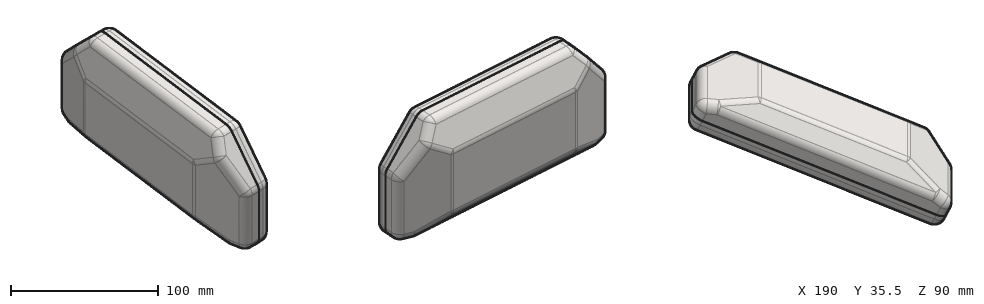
import cadquery as cq

width = 190.0
depth = 35.5
height = 90.0

side_rim_depth = 23.0
top_rim_depth = 23.0
bottom_rim_depth = 23.2
parting_depth = 11.2

corner_run = 30.0
corner_drop = 36.0

panel_side_inset = 39.1
panel_bottom = 14.2
panel_top = 65.7

edge_radius = 7.6

half_width = width / 2


def front_outline_prism():
    """Six-sided front outline, extruded over the full depth."""
    return (
        cq.Workplane("XZ")
        .polyline([
            (-half_width, 0),
            (half_width, 0),
            (half_width, height - corner_drop),
            (half_width - corner_run, height),
            (corner_run - half_width, height),
            (-half_width, height - corner_drop),
        ])
        .close()
        .extrude(depth)
    )


def plan_prism():
    """Plan outline with both wings sloping back from the front panel, extruded over the height."""
    panel_half = half_width - panel_side_inset
    return (
        cq.Workplane("XY")
        .polyline([
            (-half_width, 0),
            (half_width, 0),
            (half_width, -side_rim_depth),
            (panel_half, -depth),
            (-panel_half, -depth),
            (-half_width, -side_rim_depth),
        ])
        .close()
        .extrude(height)
    )


def side_profile_prism():
    """Side outline with the upper and lower front slopes, extruded over the width."""
    return (
        cq.Workplane("YZ")
        .polyline([
            (0, 0),
            (0, height),
            (-top_rim_depth, height),
            (-depth, panel_top),
            (-depth, panel_bottom),
            (-bottom_rim_depth, 0),
        ])
        .close()
        .extrude(half_width, both=True)
    )


def rounded_case():
    """Whole closed case: the shape common to the three outlines, with every edge rounded."""
    sharp_case = front_outline_prism().intersect(plan_prism()).intersect(side_profile_prism())
    return sharp_case.edges().fillet(edge_radius)


def depth_slab(near, far):
    """Block as wide and tall as the case, between two depths from the back."""
    return (
        cq.Workplane("XZ", origin=(0, -near, height / 2))
        .rect(width, height)
        .extrude(far - near)
    )


def back_cover(case):
    """Rear part of the case, from the flat back to the parting plane."""
    return case.intersect(depth_slab(0, parting_depth))


def front_cover(case):
    """Front part of the case, with the panel and the slopes around it."""
    return case.intersect(depth_slab(parting_depth, depth))


whole_case = rounded_case()
back = back_cover(whole_case)
front = front_cover(whole_case)

result = cq.Compound.makeCompound([back.val(), front.val()])